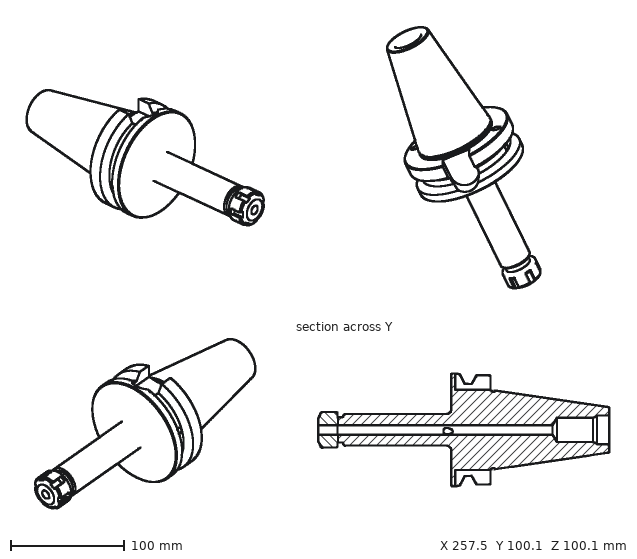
import cadquery as cq
import math

TOTAL_LENGTH = 257.5

ARC_MIDPOINT_OFFSET = 1 - math.sqrt(0.5)

TAPER_RATIO = 7 / 24
GAUGE_X = 101.7
GAUGE_RADIUS = 35.0
TAPER_TIP_RADIUS = GAUGE_RADIUS - GAUGE_X * TAPER_RATIO / 2
TIP_CHAMFER = 0.8

RELIEF_RADIUS = 33.7
RELIEF_SLOPE_X = 103.2
RELIEF_SLOPE_END_X = 104.2

FLANGE_RADIUS = 50.05
FLANGE_X = 105.0
FLANGE_END_X = 139.8
FLANGE_CHAMFER = 0.8
GROOVE_RADIUS = 42.7
GROOVE_START_X = 117.4
GROOVE_FLOOR_START_X = 121.7
GROOVE_FLOOR_END_X = 128.0
GROOVE_END_X = 132.0

SLOT_WIDTH = 25.7
SLOT_END_X = 136.2
SLOT_FLOOR_RADIUS = 35.5

SHANK_RADIUS = 14.2
SHANK_FILLET = 4.5
SHANK_END_X = 235.2
SHANK_CHAMFER = 1.5
NECK_RADIUS = 11.3
NECK_FILLET = 1.0

THROUGH_RADIUS = 4.0
PILOT_RADIUS = 12.5
PILOT_DEPTH = 10.8
PILOT_LIP_ROUNDING = 1.8
LEAD_IN_RADIUS = 12.0
LEAD_IN_LENGTH = 3.9
DRAWBAR_RADIUS = 10.5
DRAWBAR_DEPTH = 46.3
DRILL_HALF_ANGLE = math.radians(59)

COOLANT_ANGLE = 20.0
COOLANT_DIAMETER = 6.0
COOLANT_START_RADIUS = 41.7
COOLANT_TILT = 45.0
CROSS_HOLE_DIAMETER = 5.5
CROSS_HOLE_X = (GROOVE_FLOOR_START_X + GROOVE_FLOOR_END_X) / 2

NUT_X = 240.1
NUT_RADIUS = 16.0
NUT_EDGE_ROUNDING = 1.8
NUT_NOSE_X = 253.8
NUT_NOSE_BREAK_X = 255.0
NUT_NOSE_BREAK_RADIUS = 15.0
NUT_FACE_RADIUS = 10.0
NOTCH_COUNT = 6
NOTCH_WIDTH = 5.5
NOTCH_START_X = 243.5
NOTCH_FLOOR_X = 245.8
NOTCH_FLOOR_RADIUS = 13.5


def revolve_about_x(outline):
    """Turn a closed outline, drawn as (x, radius), about the X axis."""
    return outline.close().revolve(360, (0, 0, 0), (1, 0, 0))


def make_holder_blank():
    shank_fillet_offset = SHANK_FILLET * ARC_MIDPOINT_OFFSET
    neck_fillet_offset = NECK_FILLET * ARC_MIDPOINT_OFFSET
    outline = (
        cq.Workplane("XZ")
        .moveTo(0, 0)
        .lineTo(0, TAPER_TIP_RADIUS - TIP_CHAMFER)
        .lineTo(TIP_CHAMFER, TAPER_TIP_RADIUS + TIP_CHAMFER * TAPER_RATIO / 2)
        .lineTo(GAUGE_X, GAUGE_RADIUS)
        .lineTo(GAUGE_X, RELIEF_RADIUS)
        .lineTo(RELIEF_SLOPE_X, RELIEF_RADIUS)
        .lineTo(RELIEF_SLOPE_END_X, GAUGE_RADIUS)
        .lineTo(FLANGE_X, GAUGE_RADIUS)
        .lineTo(FLANGE_X, FLANGE_RADIUS - FLANGE_CHAMFER)
        .lineTo(FLANGE_X + FLANGE_CHAMFER, FLANGE_RADIUS)
        .lineTo(GROOVE_START_X, FLANGE_RADIUS)
        .lineTo(GROOVE_FLOOR_START_X, GROOVE_RADIUS)
        .lineTo(GROOVE_FLOOR_END_X, GROOVE_RADIUS)
        .lineTo(GROOVE_END_X, FLANGE_RADIUS)
        .lineTo(FLANGE_END_X - FLANGE_CHAMFER, FLANGE_RADIUS)
        .lineTo(FLANGE_END_X, FLANGE_RADIUS - FLANGE_CHAMFER)
        .lineTo(FLANGE_END_X, SHANK_RADIUS + SHANK_FILLET)
        .threePointArc(
            (FLANGE_END_X + shank_fillet_offset, SHANK_RADIUS + shank_fillet_offset),
            (FLANGE_END_X + SHANK_FILLET, SHANK_RADIUS),
        )
        .lineTo(SHANK_END_X - SHANK_CHAMFER, SHANK_RADIUS)
        .lineTo(SHANK_END_X, SHANK_RADIUS - SHANK_CHAMFER)
        .lineTo(SHANK_END_X, NECK_RADIUS + NECK_FILLET)
        .threePointArc(
            (SHANK_END_X + neck_fillet_offset, NECK_RADIUS + neck_fillet_offset),
            (SHANK_END_X + NECK_FILLET, NECK_RADIUS),
        )
        .lineTo(NUT_X, NECK_RADIUS)
        .lineTo(NUT_X, 0)
    )
    return revolve_about_x(outline)


def make_axial_bore():
    cone_length = (DRAWBAR_RADIUS - THROUGH_RADIUS) / math.tan(DRILL_HALF_ANGLE)
    lip_offset = PILOT_LIP_ROUNDING * ARC_MIDPOINT_OFFSET
    outline = (
        cq.Workplane("XZ")
        .moveTo(0, 0)
        .lineTo(0, PILOT_RADIUS + PILOT_LIP_ROUNDING)
        .threePointArc(
            (lip_offset, PILOT_RADIUS + lip_offset),
            (PILOT_LIP_ROUNDING, PILOT_RADIUS),
        )
        .lineTo(PILOT_DEPTH, PILOT_RADIUS)
        .lineTo(PILOT_DEPTH, LEAD_IN_RADIUS)
        .lineTo(PILOT_DEPTH + LEAD_IN_LENGTH, DRAWBAR_RADIUS)
        .lineTo(DRAWBAR_DEPTH, DRAWBAR_RADIUS)
        .lineTo(DRAWBAR_DEPTH + cone_length, THROUGH_RADIUS)
        .lineTo(TOTAL_LENGTH, THROUGH_RADIUS)
        .lineTo(TOTAL_LENGTH, 0)
    )
    return revolve_about_x(outline)


def make_drive_slot():
    """Round-ended slot cut into the +Z side of the flange."""
    arc_x = SLOT_END_X - SLOT_WIDTH / 2
    return (
        cq.Workplane("XY", origin=(0, 0, SLOT_FLOOR_RADIUS))
        .moveTo(GAUGE_X, -SLOT_WIDTH / 2)
        .lineTo(arc_x, -SLOT_WIDTH / 2)
        .threePointArc((SLOT_END_X, 0), (arc_x, SLOT_WIDTH / 2))
        .lineTo(GAUGE_X, SLOT_WIDTH / 2)
        .close()
        .extrude(FLANGE_RADIUS)
    )


def make_coolant_passage():
    """Slanted hole from the flange face to the bore, met by a radial hole from the V groove."""
    tilt = math.radians(COOLANT_TILT)
    inward = cq.Vector(math.cos(tilt), -math.sin(tilt), 0)
    mouth = cq.Vector(FLANGE_X, COOLANT_START_RADIUS, 0)
    run_in = COOLANT_DIAMETER
    slanted_length = run_in + COOLANT_START_RADIUS / math.sin(tilt)
    slanted = cq.Solid.makeCylinder(
        COOLANT_DIAMETER / 2, slanted_length, mouth - inward * run_in, inward
    )
    meeting_radius = COOLANT_START_RADIUS - (CROSS_HOLE_X - FLANGE_X) * math.tan(tilt)
    radial = cq.Solid.makeCylinder(
        CROSS_HOLE_DIAMETER / 2,
        FLANGE_RADIUS - meeting_radius,
        cq.Vector(CROSS_HOLE_X, meeting_radius, 0),
        cq.Vector(0, 1, 0),
    )
    passage = cq.Workplane(slanted.fuse(radial))
    return passage.rotate((0, 0, 0), (1, 0, 0), COOLANT_ANGLE)


def make_holder():
    holder = make_holder_blank().cut(make_axial_bore())
    for half_turn in (0, 180):
        for feature in (make_drive_slot(), make_coolant_passage()):
            holder = holder.cut(feature.rotate((0, 0, 0), (1, 0, 0), half_turn))
    return holder


def make_notch():
    """Wrench notch with a ramped rear end, on the +Y side of the nut."""
    return (
        cq.Workplane("XY", origin=(0, 0, -NOTCH_WIDTH / 2))
        .moveTo(NOTCH_START_X, NUT_RADIUS)
        .lineTo(NOTCH_FLOOR_X, NOTCH_FLOOR_RADIUS)
        .lineTo(TOTAL_LENGTH, NOTCH_FLOOR_RADIUS)
        .lineTo(TOTAL_LENGTH, NUT_RADIUS)
        .close()
        .extrude(NOTCH_WIDTH)
    )


def make_nut():
    edge_offset = NUT_EDGE_ROUNDING * ARC_MIDPOINT_OFFSET
    outline = (
        cq.Workplane("XZ")
        .moveTo(NUT_X, THROUGH_RADIUS)
        .lineTo(NUT_X, NUT_RADIUS - NUT_EDGE_ROUNDING)
        .threePointArc(
            (NUT_X + edge_offset, NUT_RADIUS - edge_offset),
            (NUT_X + NUT_EDGE_ROUNDING, NUT_RADIUS),
        )
        .lineTo(NUT_NOSE_X, NUT_RADIUS)
        .lineTo(NUT_NOSE_BREAK_X, NUT_NOSE_BREAK_RADIUS)
        .lineTo(TOTAL_LENGTH, NUT_FACE_RADIUS)
        .lineTo(TOTAL_LENGTH, THROUGH_RADIUS)
    )
    nut = revolve_about_x(outline)
    for index in range(NOTCH_COUNT):
        nut = nut.cut(make_notch().rotate((0, 0, 0), (1, 0, 0), index * 360 / NOTCH_COUNT))
    return nut


holder = make_holder()
nut = make_nut()

result = cq.Compound.makeCompound([holder.val(), nut.val()])